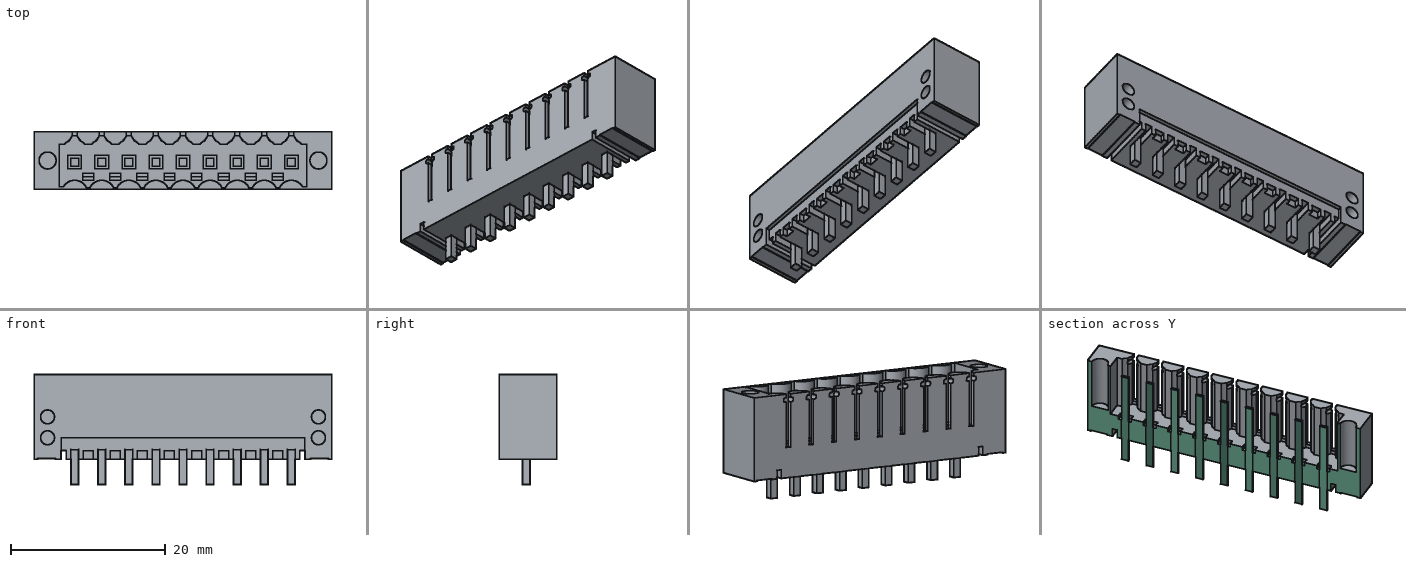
import cadquery as cq
import math


length = 38.5
depth = 7.45
height = 11.0

pin_count = 9
pitch = 3.5
pin_size = 1.0
pin_y = 3.5
pin_top = 9.8
pin_bottom = -3.25
pin_xs = [(i - (pin_count - 1) / 2) * pitch for i in range(pin_count)]
gap_xs = [x + pitch / 2 for x in pin_xs[:-1]]

end_wall = 3.25
cavity_half = length / 2 - end_wall
floor_z = 3.5
front_wall = 0.33
back_wall = 1.62
scallop_radius = 1.7
scallop_tip_y = 1.16
front_groove_y = 0.23
key_radius = 1.7
key_y = depth - 2.72
neck_width = 1.4

slot_width = 0.65
slot_wall = 0.55
slot_bottom = 4.0
window_width = 1.5
window_height = 0.6
window_z = 10.25

well_size = 1.75
well_depth = 0.5
ramp_width = 1.4
ramp_front_y = 1.16
ramp_run = 0.46
ramp_back_y = 2.09

post_hole_x = length / 2 - 1.75
screw_diameter = 2.2
screw_y = 3.72
screw_depth = 7.0
peg_diameter = 1.8
peg_depth = 1.5
peg_zs = (2.8, 5.5)

relief_half = 15.75
relief_top = 2.8
relief_depth = 0.5
foot_row_half = 15.1
foot_height = 1.15
foot_notch_width = 1.3
foot_notch_depth = 0.65
pin_slot_width = 0.95
pin_slot_height = 1.28
post_notch_x = 17.65
post_notch_width = 2.3
post_notch_height = 0.1


def block(x_min, x_max, y_min, y_max, z_min, z_max):
    """Axis-aligned box between the given limits."""
    size = (x_max - x_min, y_max - y_min, z_max - z_min)
    return cq.Workplane("XY").box(*size, centered=False).translate((x_min, y_min, z_min))


def centred_block(x, width, y_min, y_max, z_min, z_max):
    """Axis-aligned box of the given X width centred on x."""
    return block(x - width / 2, x + width / 2, y_min, y_max, z_min, z_max)


def repeat(shape, xs):
    """Copies of a shape that sits at x = 0, one at each x position."""
    return cq.Compound.makeCompound([shape.val().translate(cq.Vector(x, 0, 0)) for x in xs])


def make_scallop():
    """Round rib of the front wall, facing a pin."""
    return (
        cq.Workplane("XY", origin=(0, scallop_tip_y - scallop_radius, floor_z))
        .circle(scallop_radius)
        .extrude(height - floor_z)
    )


def make_key_channel():
    """Channel behind a pin: a round bay that narrows through slanted flanks to the slot."""
    mouth_y = depth - back_wall
    mouth_half = math.sqrt(key_radius**2 - (mouth_y - key_y) ** 2)
    neck_half = neck_width / 2
    neck_y = key_y + math.sqrt(key_radius**2 - neck_half**2)
    mid_half = (mouth_half + neck_half) / 2
    mid_y = key_y + math.sqrt(key_radius**2 - mid_half**2)
    slot_y = depth - slot_wall
    profile = (
        cq.Workplane("XY", origin=(0, 0, floor_z))
        .moveTo(-mouth_half, mouth_y)
        .threePointArc((-mid_half, mid_y), (-neck_half, neck_y))
        .lineTo(-slot_width / 2, slot_y)
        .lineTo(slot_width / 2, slot_y)
        .lineTo(neck_half, neck_y)
        .threePointArc((mid_half, mid_y), (mouth_half, mouth_y))
        .close()
    )
    return profile.extrude(height - floor_z)


def make_cavity():
    """Plug cavity between the end posts, with its scalloped front wall."""
    cavity = block(-cavity_half, cavity_half, front_wall, depth - back_wall, floor_z, height)
    grooves = block(pin_xs[0], pin_xs[-1], front_groove_y, pin_y, floor_z, height)
    return cavity.union(grooves).cut(repeat(make_scallop(), pin_xs))


def make_back_slot():
    """Vertical slot through the thin back wall behind a pin."""
    return centred_block(0, slot_width, depth - slot_wall, depth, slot_bottom, height)


def make_latch_window():
    """Round-ended opening through the back wall, across the slot near its top."""
    return (
        cq.Workplane("XZ", origin=(0, depth, window_z))
        .slot2D(window_width, window_height)
        .extrude(back_wall)
    )


def make_pin_well():
    """Shallow square well in the floor around a pin."""
    half = well_size / 2
    return centred_block(0, well_size, pin_y - half, pin_y + half, floor_z - well_depth, floor_z)


def make_pin_slot():
    """Slot in the underside, from the front relief back to a pin."""
    pin_front = pin_y - pin_size / 2
    return centred_block(0, pin_slot_width, relief_depth, pin_front, 0, pin_slot_height)


def make_ramp_pocket():
    """Floor pocket with a 45 degree ramp along its front side."""
    bottom_z = floor_z - ramp_run
    return (
        cq.Workplane("YZ", origin=(-ramp_width / 2, 0, 0))
        .moveTo(ramp_front_y, floor_z)
        .lineTo(ramp_front_y + ramp_run, bottom_z)
        .lineTo(ramp_back_y, bottom_z)
        .lineTo(ramp_back_y, floor_z)
        .close()
        .extrude(ramp_width)
    )


def make_foot_notch():
    """Shallow notch in the front of the foot row, midway between two pins."""
    notch_back = relief_depth + foot_notch_depth
    return centred_block(0, foot_notch_width, relief_depth, notch_back, 0, foot_height)


def make_post_cuts(side):
    """Screw hole, peg holes and base notch of one end post; side is -1 or 1."""
    x = side * post_hole_x
    cuts = (
        cq.Workplane("XY", origin=(x, screw_y, height))
        .circle(screw_diameter / 2)
        .extrude(-screw_depth)
    )
    for z in peg_zs:
        peg = cq.Workplane("XZ", origin=(x, 0, z)).circle(peg_diameter / 2).extrude(-peg_depth)
        cuts = cuts.union(peg)
    notch = centred_block(side * post_notch_x, post_notch_width, 0, depth, 0, post_notch_height)
    return cuts.union(notch)


def make_foot_gap(side):
    """Gap that parts the foot row from one end post; side is -1 or 1."""
    gap_width = relief_half - foot_row_half
    gap_x = (relief_half + foot_row_half) / 2
    return centred_block(side * gap_x, gap_width, 0, depth, 0, foot_height)


def make_pin():
    """Straight square pin through the housing floor."""
    half = pin_size / 2
    return centred_block(0, pin_size, pin_y - half, pin_y + half, pin_bottom, pin_top)


def make_housing():
    """Housing block with the cavity, end post holes, underside relief and pin holes cut out."""
    housing = block(-length / 2, length / 2, 0, depth, 0, height)
    housing = housing.cut(make_cavity())
    housing = housing.cut(block(-relief_half, relief_half, 0, relief_depth, 0, relief_top))
    for side in (-1, 1):
        housing = housing.cut(make_post_cuts(side))
        housing = housing.cut(make_foot_gap(side))
    for gap_cut in (make_foot_notch(), make_ramp_pocket()):
        housing = housing.cut(repeat(gap_cut, gap_xs))
    back_cuts = (make_key_channel(), make_back_slot(), make_latch_window())
    floor_cuts = (make_pin_slot(), make_pin_well(), make_pin())
    for pin_cut in back_cuts + floor_cuts:
        housing = housing.cut(repeat(pin_cut, pin_xs))
    return housing


housing = make_housing()
pins = [make_pin().translate((x, 0, 0)) for x in pin_xs]

result = cq.Compound.makeCompound([housing.val(), *[pin.val() for pin in pins]])